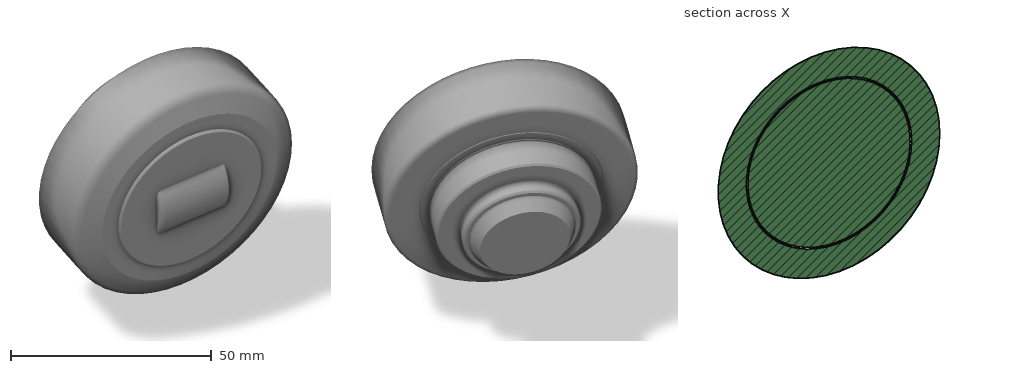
import cadquery as cq
import math


collar_start = 3.55
body_start = 7.05
relief_start = 15.0
shoulder_start = 15.55
tyre_start = 15.9
tyre_end = 35.85
flange_end = 36.6
overall_length = 39.0

tip_radius = 11.5
cone_radius = 13.5
collar_radius = 30.0 / 2
body_radius = 21.05
relief_radius = 20.75
shoulder_radius = 21.0
tyre_radius = 32.4
flange_radius = 20.85

edge_chamfer = 0.45
collar_fillet = 0.5
flange_chamfer = 0.4

tread_start = 17.3
tread_end = 31.2
crown_radius = 498.95
outer_rounding = 3.0
flank_angle = math.radians(21)

gap_outer_radius = 47.0 / 2
gap_width = 0.3
gap_depth = 0.3

roller_radius = 12.25
roller_length = 20.1
roller_rounding = 1.0


def shank_and_body():
    """Tapered tip, collar and cylindrical body up to the tyre, then the flange beyond it."""
    profile = (
        cq.Workplane("XY")
        .moveTo(0, 0)
        .lineTo(0, tip_radius)
        .lineTo(collar_start, cone_radius)
        .lineTo(collar_start, collar_radius - edge_chamfer)
        .lineTo(collar_start + edge_chamfer, collar_radius)
        .lineTo(body_start - collar_fillet, collar_radius)
        .radiusArc((body_start, collar_radius + collar_fillet), -collar_fillet)
        .lineTo(body_start, body_radius - edge_chamfer)
        .lineTo(body_start + edge_chamfer, body_radius)
        .lineTo(relief_start, body_radius)
        .lineTo(shoulder_start, relief_radius)
        .lineTo(shoulder_start, shoulder_radius)
        .lineTo(tyre_start, shoulder_radius)
        .lineTo(tyre_start, flange_radius)
        .lineTo(flange_end - flange_chamfer, flange_radius)
        .lineTo(flange_end, flange_radius - flange_chamfer)
        .lineTo(flange_end, 0)
        .close()
    )
    return profile.revolve(360, (0, 0, 0), (1, 0, 0))


def tyre():
    """Crowned ring, rounded at both edges, with a conical flank on the +X side."""
    half_tread = (tread_end - tread_start) / 2
    crown_height = crown_radius - math.sqrt(crown_radius**2 - half_tread**2)
    tread_edge_radius = tyre_radius - crown_height
    inner_rounding = tread_start - tyre_start

    flank_start = tread_end + outer_rounding * math.cos(flank_angle)
    flank_start_radius = tread_edge_radius - outer_rounding * (1 - math.sin(flank_angle))
    flank_end_radius = flank_start_radius - (tyre_end - flank_start) / math.tan(flank_angle)

    profile = (
        cq.Workplane("XY")
        .moveTo(tyre_start, 0)
        .lineTo(tyre_start, tread_edge_radius - inner_rounding)
        .radiusArc((tread_start, tread_edge_radius), inner_rounding)
        .threePointArc((tread_start + half_tread, tyre_radius), (tread_end, tread_edge_radius))
        .radiusArc((flank_start, flank_start_radius), outer_rounding)
        .lineTo(tyre_end, flank_end_radius)
        .lineTo(tyre_end, 0)
        .close()
    )
    return profile.revolve(360, (0, 0, 0), (1, 0, 0))


def seal_gap():
    """Thin ring to cut into the inner face of the tyre."""
    return (
        cq.Workplane("YZ", origin=(tyre_start, 0, 0))
        .circle(gap_outer_radius)
        .circle(gap_outer_radius - gap_width)
        .extrude(gap_depth)
    )


def side_roller():
    """Cylinder along Y with rounded rims, most of it buried in the body."""
    return (
        cq.Workplane("XZ", origin=(overall_length - roller_radius, 0, 0))
        .circle(roller_radius)
        .extrude(roller_length / 2, both=True)
        .edges("%CIRCLE")
        .fillet(roller_rounding)
    )


result = shank_and_body().union(tyre()).union(side_roller()).cut(seal_gap())